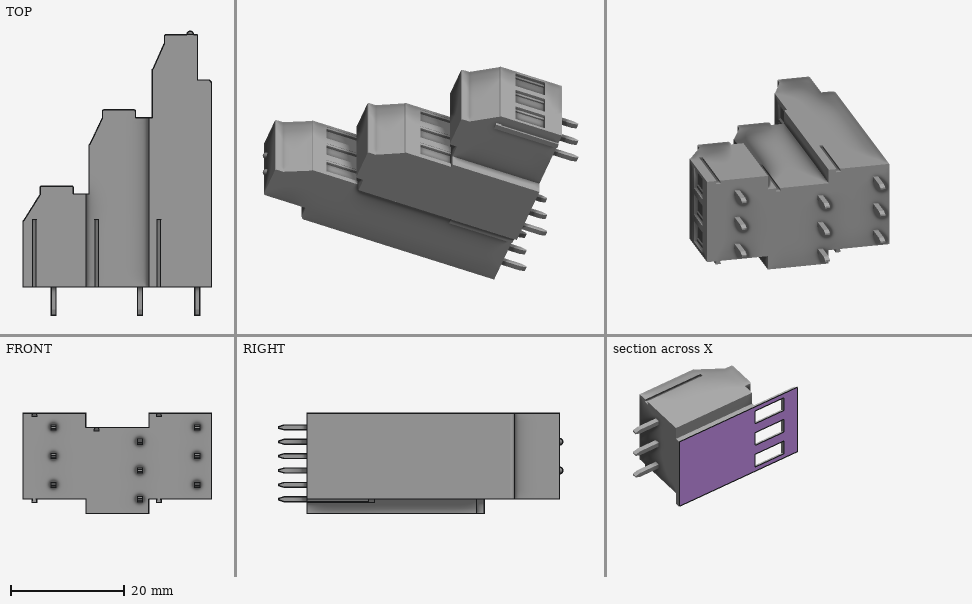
import cadquery as cq

TIER_COUNT = 3
MIDDLE_TIER = 1
LAST_TIER = TIER_COUNT - 1
TIER_PITCH = 11.15
TOTAL_WIDTH = 33.4
POLE_PITCH = 5.08
POLE_COUNT = 3
TIER_DEPTH = POLE_PITCH * POLE_COUNT
STAGGER = POLE_PITCH / 2
TIER_RISE = 13.5

SETBACK = 0.55
SHOULDER_HEIGHT = 16.5
CROWN_HEIGHT = 17.9
CROWN_LEFT = 3.05
CROWN_RIGHT = 8.93
CROWN_PITCH = 11.0
SLOPE_BOTTOM = 11.7
SLOPE_TOP = 16.4
KNEE_RUN = 0.15
KNEE_RISE = 0.08
TOP_TIER_DROP = 0.2
END_SHOULDER_HEIGHT = 36.7
END_CORNER_RADIUS = 0.7
CROWN_RADIUS = 0.3

WINDOW_BOTTOM = 3.2
WINDOW_TOP = 8.87
WINDOW_WIDTH = 3.87
WINDOW_DEPTHS = (SETBACK, 0.05, 0.05)
INNER_WINDOW_WIDTH = 2.87
INNER_WINDOW_DEPTHS = (0.3, 0.5, 0.5)

PIN_XS = (5.45, 20.73, 30.86)
PIN_SIZE = 0.9
PIN_LENGTH = 5.0
PIN_TAPER_LENGTH = 1.0
PIN_TIP_SIZE = 0.3

RAIL_START = 2.05
RAIL_PITCH = 11.0
RAIL_LENGTH = 11.95
RAIL_HEIGHT = 0.6
RAIL_NECK = 0.6
RAIL_FOOT = 0.9
RAIL_FOOT_HEIGHT = 0.17
RAIL_END_LENGTH = 1.05

DOME_X = 29.6
DOME_RADIUS = 0.6


def tier_base(index):
    """Lowest Z of a tier: the middle tier is lowered by the stagger."""
    return 0 if index == MIDDLE_TIER else STAGGER


def pole_heights(index):
    """Z centres of the poles of a tier."""
    return [tier_base(index) + POLE_PITCH * (pole + 0.5) for pole in range(POLE_COUNT)]


def upper_face_x(index):
    """X of the side face carrying the wire entry windows."""
    return index * TIER_PITCH + (SETBACK if index > 0 else 0)


def setback_height(index):
    """Height of the set-back step of a tier, level with its lower neighbour's shoulder."""
    return SHOULDER_HEIGHT + (index - 1) * TIER_RISE


def crown_top(index):
    """Height of the flat top of a tier."""
    drop = TOP_TIER_DROP if index == LAST_TIER else 0
    return CROWN_HEIGHT + index * TIER_RISE - drop


def tier(index):
    """Plain body of one tier, its profile extruded along Z."""
    is_last = index == LAST_TIER
    left = index * TIER_PITCH
    right = TOTAL_WIDTH if is_last else left + TIER_PITCH
    rise = index * TIER_RISE
    drop = TOP_TIER_DROP if is_last else 0
    crown_left = CROWN_LEFT + index * CROWN_PITCH
    crown_right = CROWN_RIGHT + index * CROWN_PITCH
    right_shoulder = END_SHOULDER_HEIGHT if is_last else SHOULDER_HEIGHT + rise

    outline = cq.Workplane("XY").workplane(offset=tier_base(index)).moveTo(left, 0)
    if index > 0:
        outline = outline.lineTo(left, setback_height(index))
        outline = outline.lineTo(upper_face_x(index), setback_height(index))
    body = (
        outline.lineTo(upper_face_x(index), SLOPE_BOTTOM + rise - drop)
        .lineTo(upper_face_x(index) + KNEE_RUN, SLOPE_BOTTOM + KNEE_RISE + rise - drop)
        .lineTo(crown_left, SLOPE_TOP + rise - drop)
        .lineTo(crown_left, crown_top(index))
        .lineTo(crown_right, crown_top(index))
        .lineTo(crown_right, right_shoulder)
        .lineTo(right, right_shoulder)
        .lineTo(right, 0)
        .close()
        .extrude(TIER_DEPTH)
    )
    crown_edges = cq.selectors.BoxSelector(
        (crown_left - CROWN_RADIUS, crown_top(index) - CROWN_RADIUS, -TIER_DEPTH),
        (crown_right + CROWN_RADIUS, crown_top(index) + CROWN_RADIUS, 2 * TIER_DEPTH),
    )
    body = body.edges("|Z").edges(crown_edges).fillet(CROWN_RADIUS)
    if is_last:
        body = body.faces(">X").edges("|Z and >Y").fillet(END_CORNER_RADIUS)
    return body


def windows(index):
    """Cutter for the stepped wire entry windows of a tier."""
    face_x = upper_face_x(index)
    bottom = setback_height(index) if index > 0 else WINDOW_BOTTOM
    length = WINDOW_TOP + index * TIER_RISE - bottom
    outer_depth = WINDOW_DEPTHS[index]
    inner_depth = INNER_WINDOW_DEPTHS[index]
    outer = cq.Workplane("XY").box(
        outer_depth, length, WINDOW_WIDTH, centered=(False, False, True)
    )
    inner = (
        cq.Workplane("XY")
        .polyline([
            (outer_depth, 0),
            (outer_depth + inner_depth, 0),
            (outer_depth + inner_depth, length + inner_depth),
            (outer_depth, length),
        ])
        .close()
        .extrude(INNER_WINDOW_WIDTH / 2, both=True)
    )
    window = outer.union(inner)
    cutter = cq.Workplane("XY")
    for z in pole_heights(index):
        cutter = cutter.add(window.translate((face_x, bottom, z)))
    return cutter.combine()


def pin(x, z):
    """Square solder pin with a chisel tip tapering in Z."""
    half = PIN_SIZE / 2
    half_tip = PIN_TIP_SIZE / 2
    taper_start = PIN_TAPER_LENGTH - PIN_LENGTH
    return (
        cq.Workplane("YZ")
        .polyline([
            (0, -half),
            (taper_start, -half),
            (-PIN_LENGTH, -half_tip),
            (-PIN_LENGTH, half_tip),
            (taper_start, half),
            (0, half),
        ])
        .close()
        .extrude(half, both=True)
        .translate((x, 0, z))
    )


def rail_x(index):
    """X of the centre line of a tier's rail and groove."""
    return RAIL_START + index * RAIL_PITCH


def dovetail(index, top):
    """Dovetail bar hanging from height `top`, wider at its foot."""
    half_neck = RAIL_NECK / 2
    half_foot = RAIL_FOOT / 2
    return (
        cq.Workplane("XZ")
        .polyline([
            (-half_neck, 0),
            (half_neck, 0),
            (half_foot, RAIL_FOOT_HEIGHT - RAIL_HEIGHT),
            (half_foot, -RAIL_HEIGHT),
            (-half_foot, -RAIL_HEIGHT),
            (-half_foot, RAIL_FOOT_HEIGHT - RAIL_HEIGHT),
        ])
        .close()
        .extrude(-RAIL_LENGTH)
        .translate((rail_x(index), 0, top))
    )


def rail(index, top):
    """Dovetail bar with its plain end block."""
    end_block = cq.Workplane("XY").box(
        RAIL_FOOT, RAIL_END_LENGTH, RAIL_HEIGHT, centered=(True, False, False)
    )
    end_place = (rail_x(index), RAIL_LENGTH - RAIL_END_LENGTH, top - RAIL_HEIGHT)
    return dovetail(index, top).union(end_block.translate(end_place))


def dome(z):
    """Ball whose outer half stands on the tallest crown."""
    return cq.Workplane("XY").sphere(DOME_RADIUS).translate((DOME_X, crown_top(LAST_TIER), z))


result = tier(0).union(tier(1)).union(tier(2))

for tier_index in range(TIER_COUNT):
    result = result.cut(windows(tier_index))
    result = result.cut(dovetail(tier_index, tier_base(tier_index) + TIER_DEPTH))
    for pin_z in pole_heights(tier_index):
        result = result.union(pin(PIN_XS[tier_index], pin_z))

for outer_tier in (0, LAST_TIER):
    result = result.union(rail(outer_tier, STAGGER))

for lower_pole_z in pole_heights(LAST_TIER)[:-1]:
    result = result.union(dome(lower_pole_z + POLE_PITCH / 2))